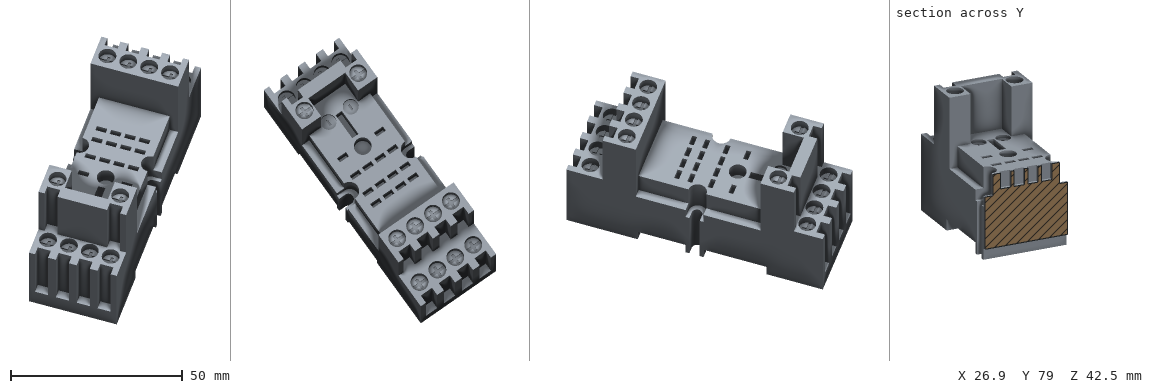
import cadquery as cq



def centred_row(count, pitch):
    """Evenly spaced positions, symmetric about zero."""
    return [(i - (count - 1) / 2) * pitch for i in range(count)]


WIDTH = 26.9
LENGTH = 79.0
HEIGHT = 42.5
HALF_LENGTH = LENGTH / 2

LEDGE_Z = 24.0
PLATFORM_Z = 26.8
SHELF_Z = 20.1
REAR_TOWER_OUTER_Y = 28.3
REAR_TOWER_INNER_Y = 18.1
FRONT_TOWER_OUTER_Y = -30.6
FRONT_TOWER_INNER_Y = -20.3
PLATFORM_WIDTH = 21.7

RAIL_DEPTH = 3.5
REAR_FOOT_Y = 17.5
FRONT_FOOT_Y = -22.1

NOTCH_HEAD_WIDTH = 5.5
NOTCH_HEAD_X = PLATFORM_WIDTH / 2
NOTCH_SHANK_WIDTH = 3.2
NOTCH_SHANK_X = 11.3
NOTCH_SEAT_Z = 16.8

WINDOW_WIDTH = 13.2
WINDOW_END_Y = -26.8

COLUMN_COUNT = 4
COLUMN_PITCH = 6.4
ALL_COLUMNS = centred_row(COLUMN_COUNT, COLUMN_PITCH)
OUTER_COLUMNS = [ALL_COLUMNS[0], ALL_COLUMNS[-1]]
WIRE_SLOT_WIDTH = 4.0
WIRE_SLOT_DEPTH = 2.6
WIRE_SLOT_FLOOR_Z = 5.5

WELL_DIAMETER = 5.2
WELL_DEPTH = 2.7
CROSS_SLOT_WIDTH = 0.9
CROSS_SHORT_ARM = 3.3
CROSS_DEPTH = 0.5
REAR_UPPER_WELL_Y = 22.2
LOWER_WELL_Y = 33.4
FRONT_UPPER_WELL_Y = -24.5

CONTACT_LENGTH = 3.2
CONTACT_WIDTH = 1.5
CONTACT_DEPTH = 5.0
CONTACT_PITCH = 4.4
CONTACT_COLUMNS = centred_row(COLUMN_COUNT, CONTACT_PITCH)
FULL_CONTACT_ROWS = [7.35, 3.3, -2.95]
COIL_CONTACT_ROW = -9.35

SOCKET_DIAMETER = 5.2
SOCKET_DEPTH = 5.0
SOCKET_Y = -8.7
KEY_WIDTH = 2.2
KEY_START_Y = -12.4
KEY_END_Y = -20.8
KEY_DEPTH = 5.0

PIT_DIAMETER = 4.6
PIT_DEPTH = 1.0
PIT_X = 3.93
PIT_Y = -20.3
PIT_SLOT_WIDTH = 0.6
PIT_SLOT_LENGTH = 1.9
PIT_SLOT_DEPTH = 0.5


def block(x_range, y_range, z_range):
    """Axis-aligned box between the given pairs of limits."""
    x0, x1 = min(x_range), max(x_range)
    y0, y1 = min(y_range), max(y_range)
    z0, z1 = min(z_range), max(z_range)
    return cq.Workplane("XY").box(x1 - x0, y1 - y0, z1 - z0, centered=False).translate((x0, y0, z0))


def sunk_box(x, y, x_size, y_size, top_z, depth):
    """Box centred on (x, y) reaching down from top_z."""
    half_x = x_size / 2
    half_y = y_size / 2
    return block((x - half_x, x + half_x), (y - half_y, y + half_y), (top_z - depth, top_z))


def sunk_cylinder(x, y, diameter, top_z, depth):
    """Vertical cylinder centred on (x, y) reaching down from top_z."""
    return cq.Workplane("XY", origin=(x, y, top_z)).circle(diameter / 2).extrude(-depth)


def make_body():
    """Side profile with two towers and two rail channels, carried across the width."""
    half_foot = NOTCH_HEAD_WIDTH / 2
    profile = [
        (-HALF_LENGTH, 0),
        (FRONT_FOOT_Y, 0),
        (FRONT_FOOT_Y, RAIL_DEPTH),
        (-half_foot, RAIL_DEPTH),
        (-half_foot, 0),
        (half_foot, 0),
        (half_foot, RAIL_DEPTH),
        (REAR_FOOT_Y, RAIL_DEPTH),
        (REAR_FOOT_Y, 0),
        (HALF_LENGTH, 0),
        (HALF_LENGTH, LEDGE_Z),
        (REAR_TOWER_OUTER_Y, LEDGE_Z),
        (REAR_TOWER_OUTER_Y, HEIGHT),
        (REAR_TOWER_INNER_Y, HEIGHT),
        (REAR_TOWER_INNER_Y, PLATFORM_Z),
        (FRONT_TOWER_INNER_Y, PLATFORM_Z),
        (FRONT_TOWER_INNER_Y, HEIGHT),
        (FRONT_TOWER_OUTER_Y, HEIGHT),
        (FRONT_TOWER_OUTER_Y, LEDGE_Z),
        (-HALF_LENGTH, LEDGE_Z),
    ]
    return cq.Workplane("YZ").polyline(profile).close().extrude(WIDTH / 2, both=True)


def cut_platform_edges(body):
    """Lower the strip along each long side of the platform to the shelf."""
    y_range = (FRONT_TOWER_INNER_Y, REAR_TOWER_INNER_Y)
    for side in (-1, 1):
        x_range = (side * PLATFORM_WIDTH / 2, side * WIDTH / 2)
        body = body.cut(block(x_range, y_range, (SHELF_Z, PLATFORM_Z)))
    return body


def round_ended_notch(side, centre_x, width, z_range):
    """Notch open to one long side, with a half-round inner end."""
    straight = block((side * centre_x, side * WIDTH / 2), (-width / 2, width / 2), z_range)
    inner_end = sunk_cylinder(side * centre_x, 0, width, z_range[1], z_range[1] - z_range[0])
    return straight.union(inner_end)


def cut_mounting_notches(body):
    for side in (-1, 1):
        body = body.cut(round_ended_notch(side, NOTCH_HEAD_X, NOTCH_HEAD_WIDTH, (NOTCH_SEAT_Z, PLATFORM_Z)))
        body = body.cut(round_ended_notch(side, NOTCH_SHANK_X, NOTCH_SHANK_WIDTH, (0, NOTCH_SEAT_Z)))
    return body


def cut_window(body):
    """Carry the platform level into the front tower, leaving a thin outer wall."""
    x_range = (-WINDOW_WIDTH / 2, WINDOW_WIDTH / 2)
    return body.cut(block(x_range, (WINDOW_END_Y, FRONT_TOWER_INNER_Y), (PLATFORM_Z, HEIGHT)))


def cut_wire_slots(body, columns, wall_y, z_range):
    """Slots cut inward from an end-facing wall at wall_y."""
    inward = -1 if wall_y > 0 else 1
    y_range = (wall_y, wall_y + inward * WIRE_SLOT_DEPTH)
    for x in columns:
        x_range = (x - WIRE_SLOT_WIDTH / 2, x + WIRE_SLOT_WIDTH / 2)
        body = body.cut(block(x_range, y_range, z_range))
    return body


def screw_well(x, y, top_z):
    """Round well with a cross recess in its floor, the long arm spanning the well."""
    floor_z = top_z - WELL_DEPTH
    well = sunk_cylinder(x, y, WELL_DIAMETER, top_z, WELL_DEPTH)
    long_arm = sunk_box(x, y, WELL_DIAMETER, CROSS_SLOT_WIDTH, floor_z, CROSS_DEPTH)
    short_arm = sunk_box(x, y, CROSS_SLOT_WIDTH, CROSS_SHORT_ARM, floor_z, CROSS_DEPTH)
    head = sunk_cylinder(x, y, WELL_DIAMETER, floor_z, CROSS_DEPTH)
    return well.union(long_arm.union(short_arm).intersect(head))


def cut_screw_wells(body, columns, y, top_z):
    for x in columns:
        body = body.cut(screw_well(x, y, top_z))
    return body


def cut_contacts(body):
    """Rows of contact openings, with only the outer two in the coil row."""
    places = [(x, y) for y in FULL_CONTACT_ROWS for x in CONTACT_COLUMNS]
    places += [(x, COIL_CONTACT_ROW) for x in (CONTACT_COLUMNS[0], CONTACT_COLUMNS[-1])]
    for x, y in places:
        body = body.cut(sunk_box(x, y, CONTACT_LENGTH, CONTACT_WIDTH, PLATFORM_Z, CONTACT_DEPTH))
    return body


def cut_centre_features(body):
    """Round socket and key slot on the centre line."""
    body = body.cut(sunk_cylinder(0, SOCKET_Y, SOCKET_DIAMETER, PLATFORM_Z, SOCKET_DEPTH))
    key_x = (-KEY_WIDTH / 2, KEY_WIDTH / 2)
    return body.cut(block(key_x, (KEY_END_Y, KEY_START_Y), (PLATFORM_Z - KEY_DEPTH, PLATFORM_Z)))


def cut_slotted_pits(body):
    floor_z = PLATFORM_Z - PIT_DEPTH
    for x in (-PIT_X, PIT_X):
        body = body.cut(sunk_cylinder(x, PIT_Y, PIT_DIAMETER, PLATFORM_Z, PIT_DEPTH))
        body = body.cut(sunk_box(x, PIT_Y, PIT_SLOT_WIDTH, PIT_SLOT_LENGTH, floor_z, PIT_SLOT_DEPTH))
    return body


result = make_body()
result = cut_platform_edges(result)
result = cut_mounting_notches(result)
result = cut_window(result)

for end_wall_y in (-HALF_LENGTH, HALF_LENGTH):
    result = cut_wire_slots(result, ALL_COLUMNS, end_wall_y, (WIRE_SLOT_FLOOR_Z, LEDGE_Z))
result = cut_wire_slots(result, ALL_COLUMNS, REAR_TOWER_OUTER_Y, (LEDGE_Z, HEIGHT))
result = cut_wire_slots(result, OUTER_COLUMNS, FRONT_TOWER_OUTER_Y, (LEDGE_Z, HEIGHT))

result = cut_screw_wells(result, ALL_COLUMNS, REAR_UPPER_WELL_Y, HEIGHT)
result = cut_screw_wells(result, ALL_COLUMNS, LOWER_WELL_Y, LEDGE_Z)
result = cut_screw_wells(result, OUTER_COLUMNS, FRONT_UPPER_WELL_Y, HEIGHT)
result = cut_screw_wells(result, ALL_COLUMNS, -LOWER_WELL_Y, LEDGE_Z)

result = cut_contacts(result)
result = cut_centre_features(result)
result = cut_slotted_pits(result)